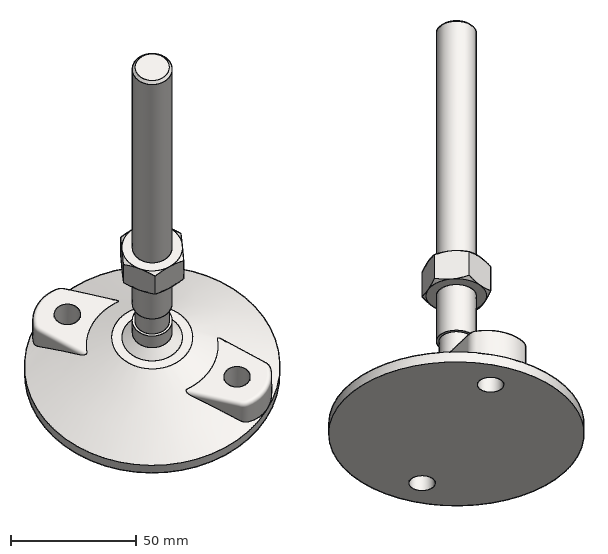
import cadquery as cq
import math

total_height = 195.0

foot_radius = 102.0 / 2
rim_height = 4.9
cone_top_radius = 16.2
foot_height = 23.0

lug_top = 17.7
lug_end_x = foot_radius - 0.1
lug_base = rim_height / 2
lug_inner_x = 19.5
lug_inner_half_width = 16.4
lug_side_angle = 9.3
lug_end_radius = 17.5
lug_corner_radius = 4.9
lug_edge_radius = 1.8
bolt_hole_diameter = 10.5
bolt_hole_x = 37.5

rod_radius = 16.0 / 2
neck_radius = 13.8 / 2
rod_tip_radius = 13.6 / 2
tip_chamfer = rod_radius - rod_tip_radius
flare_radius = 12.0
flare_top = 26.3
collar_top = 33.7
neck_top = 44.7

nut_across_flats = 24.2
nut_across_corners = nut_across_flats / math.cos(math.pi / 6)
nut_bottom = 66.7
nut_height = 13.6
nut_chamfer_angle = 30.0


def make_lug():
    """Tapered lug pointing toward +X, with a rounded end almost flush with the rim."""
    side_slope = math.tan(math.radians(lug_side_angle))
    arc_center_x = lug_end_x - lug_end_radius
    side_at_center = lug_inner_half_width - side_slope * (arc_center_x - lug_inner_x)
    quad_a = 1 + side_slope**2
    half_b = side_at_center * side_slope
    quad_c = side_at_center**2 - lug_end_radius**2
    corner_offset = (half_b + math.sqrt(half_b**2 - quad_a * quad_c)) / quad_a
    corner_x = arc_center_x + corner_offset
    corner_y = side_at_center - side_slope * corner_offset
    lug = (
        cq.Workplane("XY", origin=(0, 0, lug_base))
        .moveTo(lug_inner_x, -lug_inner_half_width)
        .lineTo(corner_x, -corner_y)
        .threePointArc((lug_end_x, 0), (corner_x, corner_y))
        .lineTo(lug_inner_x, lug_inner_half_width)
        .close()
        .extrude(lug_top - lug_base)
    )
    lug = lug.edges("|Z and (not <X)").fillet(lug_corner_radius)
    return lug.faces(">Z").edges("not <X").fillet(lug_edge_radius)


def make_foot():
    foot = (
        cq.Workplane("YZ")
        .polyline([
            (0, 0),
            (foot_radius, 0),
            (foot_radius, rim_height),
            (cone_top_radius, foot_height),
            (0, foot_height),
        ])
        .close()
        .revolve(360, (0, 0), (0, 1))
    )
    lug = make_lug()
    for turn in (0, 180):
        foot = foot.union(lug.rotate((0, 0, 0), (0, 0, 1), turn))
    bolt_holes = (
        cq.Workplane("XY")
        .pushPoints([(-bolt_hole_x, 0), (bolt_hole_x, 0)])
        .circle(bolt_hole_diameter / 2)
        .extrude(foot_height)
    )
    return foot.cut(bolt_holes)


def make_stem():
    """Turned stem standing on the flat top of the foot."""
    return (
        cq.Workplane("XZ")
        .polyline([
            (0, foot_height),
            (flare_radius, foot_height),
            (rod_radius, flare_top),
            (rod_radius, collar_top),
            (neck_radius, collar_top),
            (neck_radius, neck_top),
            (rod_radius, neck_top),
            (rod_radius, total_height - tip_chamfer),
            (rod_tip_radius, total_height),
            (0, total_height),
        ])
        .close()
        .revolve(360, (0, 0), (0, 1))
    )


def make_nut():
    """Hexagon nut with corners on the X axis, conically chamfered at both ends."""
    hexagon = (
        cq.Workplane("XY", origin=(0, 0, nut_bottom))
        .polygon(6, nut_across_corners)
        .extrude(nut_height)
    )
    face_radius = nut_across_flats / 2
    corner_radius = nut_across_corners / 2
    chamfer_height = (corner_radius - face_radius) * math.tan(math.radians(nut_chamfer_angle))
    nut_top = nut_bottom + nut_height
    chamfer_envelope = (
        cq.Workplane("XZ")
        .polyline([
            (rod_radius, nut_bottom),
            (face_radius, nut_bottom),
            (corner_radius, nut_bottom + chamfer_height),
            (corner_radius, nut_top - chamfer_height),
            (face_radius, nut_top),
            (rod_radius, nut_top),
        ])
        .close()
        .revolve(360, (0, 0), (0, 1))
    )
    return hexagon.intersect(chamfer_envelope)


foot = make_foot()
stem = make_stem()
nut = make_nut()

result = cq.Compound.makeCompound([foot.solids().val(), stem.val(), nut.solids().val()])